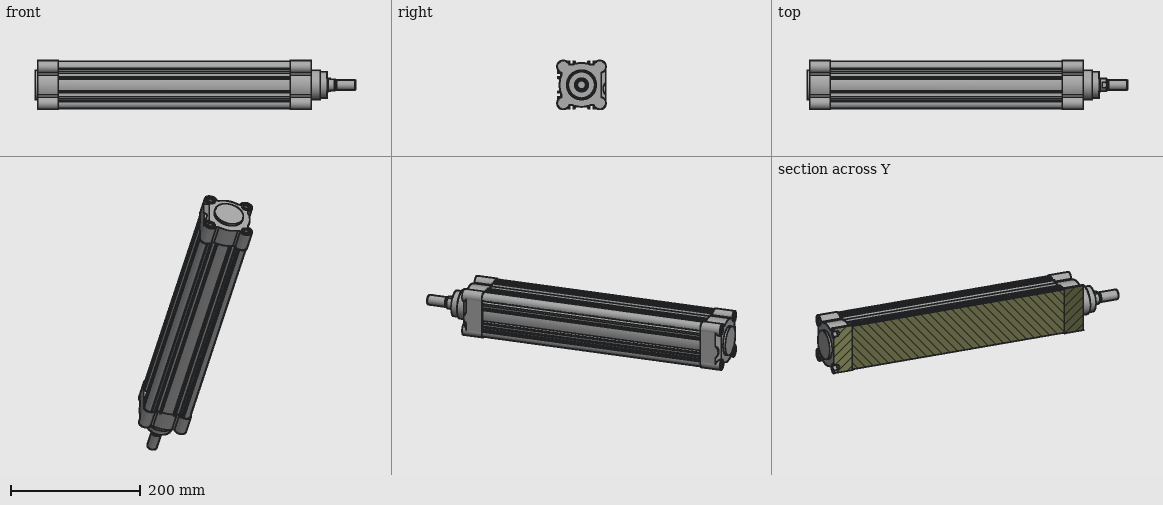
import cadquery as cq
import math

SPIGOT_LENGTH = 4.0
CAP_LENGTH = 32.0
TUBE_LENGTH = 357.0
COLLAR_LENGTH = 14.0
NOSE_LENGTH = 10.5
TOTAL_LENGTH = 494.0

REAR_CAP_START = SPIGOT_LENGTH
TUBE_START = REAR_CAP_START + CAP_LENGTH
FRONT_CAP_START = TUBE_START + TUBE_LENGTH
COLLAR_START = FRONT_CAP_START + CAP_LENGTH
NOSE_START = COLLAR_START + COLLAR_LENGTH
NOSE_END = NOSE_START + NOSE_LENGTH

OUTER_SIZE = 75.5
SCREW_SPACING = 56.5
SCREW_OFFSET = SCREW_SPACING / 2
CORNER_RADIUS = OUTER_SIZE / 2 - SCREW_OFFSET
CAP_CORE_RADIUS = 34.0
CAP_SQUARE_HALF = 30.5
COLLAR_RADIUS = 22.5
NOSE_RADIUS = 20.5

PAD_HEIGHT = 37.5
PAD_SLOPE_LENGTH = 7.0
PORT_BOSS_RADIUS = 13.5
PORT_BOSS_Z = -6.0

SEAT_RADIUS = 7.0
SEAT_DEPTH = 0.5
SOCKET_RADIUS = 4.0
SOCKET_DEPTH = 7.5
SOCKET_TIP_ANGLE = 118.0

TUBE_HALF = 36.5
TUBE_CORNER_RADIUS = TUBE_HALF - SCREW_OFFSET
TUBE_CORE_RADIUS = 33.5
GROOVE_OUTER = 25.5
GROOVE_INNER = 24.0
GROOVE_SLOPE_TOP = 21.0
GROOVE_FLOOR = 33.5
SLOT_OUTER = 18.5
SLOT_INNER = 12.5
SLOT_FLOOR = 31.5
LIP_INNER = 10.5
LIP_SLOPE_BASE = 9.0

ROD_RADIUS = 10.0
SHOULDER_RADIUS = 10.5
SHOULDER_LENGTH = 1.5
ROD_END = 462.0
ROD_CHAMFER = 1.5
FLATS_START = 454.5
FLATS_WIDTH = 18.0
NECK_RADIUS = 7.0
THREAD_START = 464.5
THREAD_RADIUS = 8.0
THREAD_CHAMFER = 1.5

CORNERS = [(sy * SCREW_OFFSET, sz * SCREW_OFFSET) for sy in (1, -1) for sz in (1, -1)]


def section_at(x):
    """Workplane across the axis at x, with local x along Y and local y along Z."""
    return cq.Workplane("YZ", origin=(x, 0, 0))


def cylinder(start, end, radius):
    return section_at(start).circle(radius).extrude(end - start)


def port_pad():
    """Pad on the +Y side that rises from the outer end face, with a round port boss flush with its top."""
    pad_outline = [
        (0, 0),
        (0, CAP_SQUARE_HALF),
        (PAD_SLOPE_LENGTH, PAD_HEIGHT),
        (CAP_LENGTH, PAD_HEIGHT),
        (CAP_LENGTH, 0),
    ]
    pad = cq.Workplane("XY").polyline(pad_outline).close().extrude(SCREW_OFFSET, both=True)
    boss = (
        cq.Workplane("XZ", origin=(CAP_LENGTH / 2, 0, PORT_BOSS_Z))
        .circle(PORT_BOSS_RADIUS)
        .extrude(-PAD_HEIGHT)
    )
    return pad.union(boss)


def cap_block():
    """Cap body from x = 0 to CAP_LENGTH, with its outer end face at x = 0."""
    square_side = 2 * CAP_SQUARE_HALF
    core = cylinder(0, CAP_LENGTH, CAP_CORE_RADIUS)
    port_side = cq.Workplane("XY").box(
        CAP_LENGTH, CAP_CORE_RADIUS, OUTER_SIZE, centered=(False, False, True)
    )
    core = core.cut(port_side.translate((0, CAP_SQUARE_HALF, 0)))
    square = section_at(0).rect(square_side, square_side).extrude(CAP_LENGTH)
    corners = section_at(0).pushPoints(CORNERS).circle(CORNER_RADIUS).extrude(CAP_LENGTH)
    return core.union(square).union(corners).union(port_pad())


def screw_sockets():
    """Shallow screw seats with drilled sockets that end in a drill-point cone."""
    tip_depth = SOCKET_RADIUS / math.tan(math.radians(SOCKET_TIP_ANGLE / 2))
    socket_outline = [
        (0, 0),
        (0, SEAT_RADIUS),
        (SEAT_DEPTH, SEAT_RADIUS),
        (SEAT_DEPTH, SOCKET_RADIUS),
        (SOCKET_DEPTH, SOCKET_RADIUS),
        (SOCKET_DEPTH + tip_depth, 0),
    ]
    socket = cq.Workplane("XY").polyline(socket_outline).close().revolve(360, (0, 0), (1, 0))
    sockets = cq.Workplane("XY")
    for y, z in CORNERS:
        sockets = sockets.add(socket.translate((REAR_CAP_START, y, z)))
    return sockets.combine()


def make_rear_cap():
    spigot = cylinder(0, REAR_CAP_START, COLLAR_RADIUS)
    block = cap_block().translate((REAR_CAP_START, 0, 0))
    return block.union(spigot).cut(screw_sockets())


def make_front_cap():
    block = cap_block().mirror("YZ").translate((COLLAR_START, 0, 0))
    collar = cylinder(COLLAR_START, NOSE_START, COLLAR_RADIUS)
    nose = cylinder(NOSE_START, NOSE_END, NOSE_RADIUS)
    rod_bore = cylinder(FRONT_CAP_START, NOSE_END, ROD_RADIUS)
    return block.union(collar).union(nose).cut(rod_bore)


def make_tube():
    """Extruded tube whose four equal sides each carry two slots, two lips and two corner grooves."""
    core_height = math.sqrt(TUBE_CORE_RADIUS**2 - LIP_SLOPE_BASE**2)
    half_side = [
        (LIP_SLOPE_BASE, core_height),
        (LIP_INNER, TUBE_HALF),
        (SLOT_INNER, TUBE_HALF),
        (SLOT_INNER, SLOT_FLOOR),
        (SLOT_OUTER, SLOT_FLOOR),
        (SLOT_OUTER, TUBE_HALF),
        (GROOVE_SLOPE_TOP, TUBE_HALF),
        (GROOVE_INNER, GROOVE_FLOOR),
        (GROOVE_OUTER, GROOVE_FLOOR),
        (GROOVE_OUTER, TUBE_HALF),
        (SCREW_OFFSET, TUBE_HALF),
    ]
    corner_mid = SCREW_OFFSET + TUBE_CORNER_RADIUS * math.sqrt(0.5)

    def turned(point, quarter):
        """Point of the +Z side turned by quarter turns towards +Y, -Z and -Y."""
        y, z = point
        for _ in range(quarter):
            y, z = z, -y
        return (y, z)

    outline = section_at(TUBE_START).moveTo(-LIP_SLOPE_BASE, core_height)
    for quarter in range(4):
        outline = outline.threePointArc(
            turned((0, TUBE_CORE_RADIUS), quarter), turned(half_side[0], quarter)
        )
        for point in half_side[1:]:
            outline = outline.lineTo(*turned(point, quarter))
        outline = outline.threePointArc(
            turned((corner_mid, corner_mid), quarter), turned((TUBE_HALF, SCREW_OFFSET), quarter)
        )
        for across, height in reversed(half_side[:-1]):
            outline = outline.lineTo(*turned((-across, height), quarter + 1))
    return outline.close().extrude(TUBE_LENGTH)


def make_rod():
    """Rod from the tube end out through the front cap, with wrench flats, a neck and a threaded end."""
    shoulder = cylinder(NOSE_END, NOSE_END + SHOULDER_LENGTH, SHOULDER_RADIUS)
    shank = cylinder(FRONT_CAP_START, ROD_END, ROD_RADIUS).faces(">X").chamfer(ROD_CHAMFER)
    neck = cylinder(ROD_END, THREAD_START, NECK_RADIUS)
    thread = cylinder(THREAD_START, TOTAL_LENGTH, THREAD_RADIUS).faces(">X").chamfer(THREAD_CHAMFER)
    flat_length = ROD_END - FLATS_START
    for side in (1, -1):
        waste = cq.Workplane("XY").box(flat_length, 2 * ROD_RADIUS, ROD_RADIUS, centered=(False, True, True))
        waste_z = side * (FLATS_WIDTH + ROD_RADIUS) / 2
        shank = shank.cut(waste.translate((FLATS_START, 0, waste_z)))
    return shank.union(shoulder).union(neck).union(thread)


rear_cap = make_rear_cap()
tube = make_tube()
front_cap = make_front_cap()
rod = make_rod()

result = cq.Compound.makeCompound([rear_cap.val(), tube.val(), front_cap.val(), rod.val()])